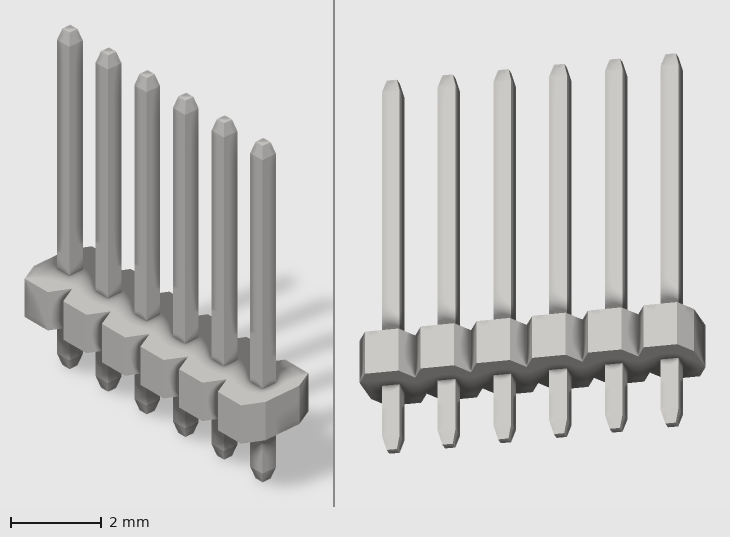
import cadquery as cq

pin_count = 6
body_length = 7.62
body_width = 2.0
body_height = 1.0
total_height = 8.75
pin_below_body = 1.5
pin_width = 0.4
tip_height = 0.3
tip_width = 0.24
notch_depth = 0.5
notch_half_width = 0.25

pitch = body_length / pin_count
half_width = body_width / 2
shank_length = total_height - 2 * tip_height
pin_positions = [(i - (pin_count - 1) / 2) * pitch for i in range(pin_count)]


def make_body():
    """One octagonal cell per pin, joined side by side so the corner cuts form V notches."""
    half_pitch = pitch / 2
    flat = half_pitch - notch_half_width
    shoulder = half_width - notch_depth
    cell_outline = [
        (-half_pitch, -shoulder),
        (-flat, -half_width),
        (flat, -half_width),
        (half_pitch, -shoulder),
        (half_pitch, shoulder),
        (flat, half_width),
        (-flat, half_width),
        (-half_pitch, shoulder),
    ]
    cell = cq.Workplane("XY").polyline(cell_outline).close().extrude(body_height)
    body = cell.translate((pin_positions[0], 0, 0))
    for x in pin_positions[1:]:
        body = body.union(cell.translate((x, 0, 0)))
    return body.clean()


def make_tip():
    """Tapered square pin end, wide face at Z = 0 and pointing up."""
    return (
        cq.Workplane("XY")
        .rect(pin_width, pin_width)
        .workplane(offset=tip_height)
        .rect(tip_width, tip_width)
        .loft(ruled=True)
    )


def make_pin():
    """Square pin centred on the Z axis with a tapered tip at both ends."""
    shank_bottom = tip_height - pin_below_body
    shank_top = shank_bottom + shank_length
    shank = (
        cq.Workplane("XY", origin=(0, 0, shank_bottom))
        .rect(pin_width, pin_width)
        .extrude(shank_length)
    )
    upper_tip = make_tip().translate((0, 0, shank_top))
    lower_tip = make_tip().mirror("XY").translate((0, 0, shank_bottom))
    return shank.union(upper_tip).union(lower_tip)


pin = make_pin()
result = make_body()
for x in pin_positions:
    result = result.union(pin.translate((x, 0, 0)))